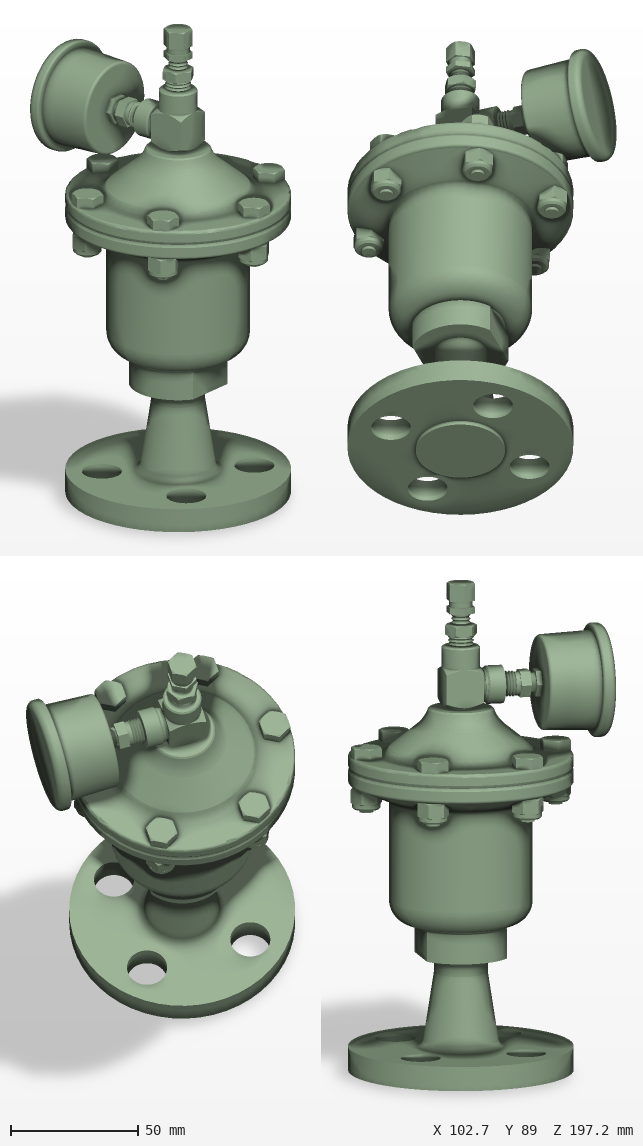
import cadquery as cq
import math

flange_diameter = 89.0
flange_radius = flange_diameter / 2

raised_face_radius = 17.5
raised_face_top = 1.8
pipe_flange_top = 11.5
flange_hole_diameter = 15.8
flange_hole_circle_radius = 30.2
flange_hole_count = 4
flange_hole_first_angle = 45

neck_root_radius = 18.0
neck_bottom_radius = 14.8
neck_fillet_top = 14.2
neck_top_radius = 10.6
taper_top = 41.0
collar_bottom = 47.7
collar_diameter = 38.8
collar_flat_width = 32.3
collar_top = 59.5
collar_neck_diameter = 35.5

bowl_diameter = 56.5
bowl_radius = bowl_diameter / 2
bowl_bottom = 60.5
bowl_bottom_round = 9.5
bowl_top = 109.2
bowl_neck_radius = 29.5
bowl_neck_top = 110.8

lower_rim_bottom = 116.7
rim_joint = 122.8
rim_top = 128.5
rim_round = 1.2
joint_groove_depth = 0.5

bonnet_foot_radius = 33.0
bonnet_cone_bottom_radius = 28.4
bonnet_cone_bottom = 131.1
bonnet_cone_top_radius = 17.5
bonnet_cone_top = 140.0
bonnet_top_radius = 13.0
bonnet_top = 147.1
bonnet_top_chamfer = 0.5

bolt_count = 6
bolt_circle_radius = 38.3
bolt_hex_width = 11.0
bolt_head_top = 133.0
nut_hex_top = 116.3
nut_hex_bottom = 110.2
nut_collar_bottom = 108.0
nut_collar_diameter = 11.2
nut_chamfer = 0.8
bolt_tip = 106.9
bolt_tip_diameter = 5.5

elbow_width = 15.2
elbow_bottom = 148.0
elbow_top = elbow_bottom + elbow_width
elbow_axis = elbow_bottom + elbow_width / 2
elbow_stem_diameter = 11.2
port_diameter = elbow_width
port_chamfer = 0.5
upper_port_top = 172.0
side_port_neck_diameter = 13.8
side_port_relief_diameter = 13.0
side_port_relief_end = 8.7
side_port_start = 9.7
side_port_end = 16.5

thread_depth = 0.8
thread_pitch = 1.4

gauge_thread_diameter = 10.3
gauge_thread_end = 21.5
gauge_hex_start = 23.3
gauge_hex_end = 27.5
gauge_neck_end = 29.5
gauge_neck_diameter = 8.0
gauge_hex_width = 10.3
case_back = 31.7
case_back_radius = 19.0
case_front_radius = 19.7
case_back_round = 1.2
rim_back = 52.6
gauge_rim_diameter = 45.2
gauge_rim_radius = gauge_rim_diameter / 2
gauge_front = 58.0
gauge_front_round = 2.5
gauge_rim_back_round = 1.0

inlet_thread_diameter = 10.3
fitting_nut_bottom = 176.0
fitting_nut_top = 180.5
fitting_nut_width = 11.2
stem_thread_diameter = 7.7
cap_bottom = 185.0
cap_groove_bottom = 187.5
cap_groove_top = 190.0
cap_groove_diameter = 9.3
cap_width = 10.0
top = 197.2

OVERLAP = 0.4
ARC_MIDDLE = math.sqrt(0.5)
CORNERS_ON_Y = 30
HEX_CHAMFER_ANGLE = 30
HEX_RATIO = 2 / math.sqrt(3)


def cylinder(diameter, bottom, end):
    return cq.Workplane("XY").workplane(offset=bottom).circle(diameter / 2).extrude(end - bottom)


def hexagon(width, bottom, end, turn):
    """Hexagonal prism on Z; corners on X, or turned by an angle in degrees."""
    prism = cq.Workplane("XY").workplane(offset=bottom).polygon(6, width * HEX_RATIO)
    return prism.extrude(end - bottom).rotate((0, 0, 0), (0, 0, 1), turn)


def corner_chamfer(outer, inner_radius, outer_radius, bottom, end, at_bottom, at_top):
    """Cut the corners of a prism back to a shallow cone at the chosen ends."""
    drop = (outer_radius - inner_radius) * math.tan(math.radians(HEX_CHAMFER_ANGLE))
    blank = cq.Workplane("XZ").moveTo(0, bottom)
    if at_bottom:
        blank = blank.lineTo(inner_radius, bottom).lineTo(outer_radius, bottom + drop)
    else:
        blank = blank.lineTo(outer_radius, bottom)
    if at_top:
        blank = blank.lineTo(outer_radius, end - drop).lineTo(inner_radius, end)
    else:
        blank = blank.lineTo(outer_radius, end)
    return outer.intersect(blank.lineTo(0, end).close().revolve(360, (0, 0), (0, 1)))


def chamfered_hex(width, bottom, end, turn=0.0, at_bottom=True, at_top=True):
    prism = hexagon(width, bottom, end, turn)
    corner_radius = width * HEX_RATIO / 2
    return corner_chamfer(prism, width / 2, corner_radius, bottom, end, at_bottom, at_top)


def thread(diameter, bottom, end):
    """Ring-shaped V threads on a core that reaches into both neighbours."""
    crest = diameter / 2
    root = crest - thread_depth
    count = round((end - bottom) / thread_pitch)
    pitch = (end - bottom) / count
    outline = cq.Workplane("XZ").moveTo(0, bottom - OVERLAP).lineTo(root, bottom - OVERLAP).lineTo(root, bottom)
    for ring in range(count):
        start = bottom + ring * pitch
        outline = outline.lineTo(crest, start + pitch / 2).lineTo(root, start + pitch)
    outline = outline.lineTo(root, end + OVERLAP).lineTo(0, end + OVERLAP)
    return outline.close().revolve(360, (0, 0), (0, 1))


def pipe_flange_and_neck():
    body = (
        cq.Workplane("XZ")
        .lineTo(raised_face_radius, 0)
        .lineTo(raised_face_radius, raised_face_top)
        .lineTo(flange_radius, raised_face_top)
        .lineTo(flange_radius, pipe_flange_top)
        .lineTo(neck_root_radius, pipe_flange_top)
        .threePointArc(
            (
                neck_root_radius - ARC_MIDDLE * (neck_root_radius - neck_bottom_radius),
                neck_fillet_top - ARC_MIDDLE * (neck_fillet_top - pipe_flange_top),
            ),
            (neck_bottom_radius, neck_fillet_top),
        )
        .lineTo(neck_top_radius, taper_top)
        .lineTo(neck_top_radius, collar_bottom + OVERLAP)
        .lineTo(0, collar_bottom + OVERLAP)
        .close()
        .revolve(360, (0, 0), (0, 1))
    )
    holes = (
        cq.Workplane("XY")
        .polarArray(flange_hole_circle_radius, flange_hole_first_angle, 360, flange_hole_count)
        .circle(flange_hole_diameter / 2)
        .extrude(pipe_flange_top)
    )
    return body.cut(holes)


def wrench_collar():
    collar = cylinder(collar_diameter, collar_bottom, collar_top)
    height = collar_top - collar_bottom
    flats = cq.Workplane("XY").box(collar_flat_width, collar_diameter, height, (True, True, False))
    collar = collar.intersect(flats.translate((0, 0, collar_bottom)))
    neck = cylinder(collar_neck_diameter, collar_top, bowl_bottom + OVERLAP)
    return collar.union(neck)


def bowl():
    corner_gap = rim_round * (1 - ARC_MIDDLE)
    return (
        cq.Workplane("XZ")
        .moveTo(0, bowl_bottom)
        .lineTo(bowl_radius - bowl_bottom_round, bowl_bottom)
        .tangentArcPoint((bowl_radius, bowl_bottom + bowl_bottom_round), relative=False)
        .lineTo(bowl_radius, bowl_top)
        .tangentArcPoint((bowl_neck_radius, bowl_neck_top), relative=False)
        .lineTo(flange_radius - rim_round, lower_rim_bottom)
        .threePointArc(
            (flange_radius - corner_gap, lower_rim_bottom + corner_gap),
            (flange_radius, lower_rim_bottom + rim_round),
        )
        .lineTo(flange_radius, rim_joint - rim_round)
        .lineTo(flange_radius - joint_groove_depth, rim_joint)
        .lineTo(0, rim_joint)
        .close()
        .revolve(360, (0, 0), (0, 1))
    )


def bonnet():
    return (
        cq.Workplane("XZ")
        .moveTo(0, rim_joint)
        .lineTo(flange_radius - joint_groove_depth, rim_joint)
        .lineTo(flange_radius, rim_joint + rim_round)
        .lineTo(flange_radius, rim_top - rim_round)
        .tangentArcPoint((flange_radius - rim_round, rim_top), relative=False)
        .lineTo(bonnet_foot_radius, rim_top)
        .tangentArcPoint((bonnet_cone_bottom_radius, bonnet_cone_bottom), relative=False)
        .lineTo(bonnet_cone_top_radius, bonnet_cone_top)
        .tangentArcPoint((bonnet_top_radius, bonnet_top - bonnet_top_chamfer), relative=False)
        .lineTo(bonnet_top_radius - bonnet_top_chamfer, bonnet_top)
        .lineTo(0, bonnet_top)
        .close()
        .revolve(360, (0, 0), (0, 1))
    )


def clamping_bolt():
    head = chamfered_hex(bolt_hex_width, rim_top - OVERLAP, bolt_head_top, turn=CORNERS_ON_Y, at_bottom=False)
    nut = chamfered_hex(bolt_hex_width, nut_hex_bottom, nut_hex_top)
    nut_collar = cylinder(nut_collar_diameter, nut_collar_bottom, nut_hex_bottom + OVERLAP)
    nut_collar = nut_collar.faces("<Z").chamfer(nut_chamfer)
    shank = cylinder(bolt_tip_diameter, bolt_tip, rim_top)
    return head.union(nut).union(nut_collar).union(shank)


def elbow():
    block = cq.Workplane("XY").box(elbow_width, elbow_width, elbow_width).translate((0, 0, elbow_axis))
    corner_radius = elbow_width / math.sqrt(2)
    block = corner_chamfer(block, elbow_width / 2, corner_radius, elbow_bottom, elbow_top, True, True)
    stem = cylinder(elbow_stem_diameter, bonnet_top - OVERLAP, elbow_bottom + OVERLAP)
    port = cylinder(port_diameter, elbow_top - OVERLAP, upper_port_top).faces(">Z").chamfer(port_chamfer)
    return block.union(stem).union(port)


def gauge_case():
    """Gauge case and rim on the Z axis, with the back at the lower end."""
    return (
        cq.Workplane("XZ")
        .moveTo(0, case_back)
        .lineTo(case_back_radius - case_back_round, case_back)
        .tangentArcPoint((case_back_radius, case_back + case_back_round), relative=False)
        .lineTo(case_front_radius, rim_back)
        .lineTo(gauge_rim_radius - gauge_rim_back_round, rim_back)
        .tangentArcPoint((gauge_rim_radius, rim_back + gauge_rim_back_round), relative=False)
        .lineTo(gauge_rim_radius, gauge_front - gauge_front_round)
        .tangentArcPoint((gauge_rim_radius - gauge_front_round, gauge_front), relative=False)
        .lineTo(0, gauge_front)
        .close()
        .revolve(360, (0, 0), (0, 1))
    )


def gauge():
    """Side port and gauge, built along Z and then laid along -X on the elbow axis."""
    port = cylinder(port_diameter, side_port_start, side_port_end).faces("<Z").chamfer(port_chamfer)
    pieces = [
        port,
        cylinder(side_port_relief_diameter, 0, side_port_relief_end),
        cylinder(side_port_neck_diameter, side_port_relief_end, side_port_start + OVERLAP),
        thread(gauge_thread_diameter, side_port_end, gauge_thread_end),
        cylinder(gauge_neck_diameter, gauge_thread_end - OVERLAP, case_back + OVERLAP),
        cylinder(gauge_thread_diameter - thread_depth, gauge_thread_end, gauge_hex_start),
        hexagon(gauge_hex_width, gauge_hex_start, gauge_hex_end, turn=CORNERS_ON_Y),
        hexagon(gauge_hex_width, gauge_neck_end, case_back, turn=CORNERS_ON_Y),
    ]
    assembly = gauge_case()
    for piece in pieces:
        assembly = assembly.union(piece)
    return assembly.rotate((0, 0, 0), (0, 1, 0), -90).translate((0, 0, elbow_axis))


def top_fitting():
    fitting = thread(inlet_thread_diameter, upper_port_top, fitting_nut_bottom)
    pieces = [
        chamfered_hex(fitting_nut_width, fitting_nut_bottom, fitting_nut_top),
        thread(stem_thread_diameter, fitting_nut_top, cap_bottom),
        hexagon(cap_width, cap_bottom, cap_groove_bottom, turn=CORNERS_ON_Y),
        cylinder(cap_groove_diameter, cap_groove_bottom - OVERLAP, cap_groove_top + OVERLAP),
        chamfered_hex(cap_width, cap_groove_top, top, turn=CORNERS_ON_Y, at_bottom=False),
    ]
    for piece in pieces:
        fitting = fitting.union(piece)
    return fitting


result = pipe_flange_and_neck()
for part in (wrench_collar(), bowl(), bonnet(), elbow(), gauge(), top_fitting()):
    result = result.union(part)
bolt = clamping_bolt().translate((bolt_circle_radius, 0, 0))
bolt_spacing = 360 / bolt_count
for index in range(bolt_count):
    result = result.union(bolt.rotate((0, 0, 0), (0, 0, 1), index * bolt_spacing))